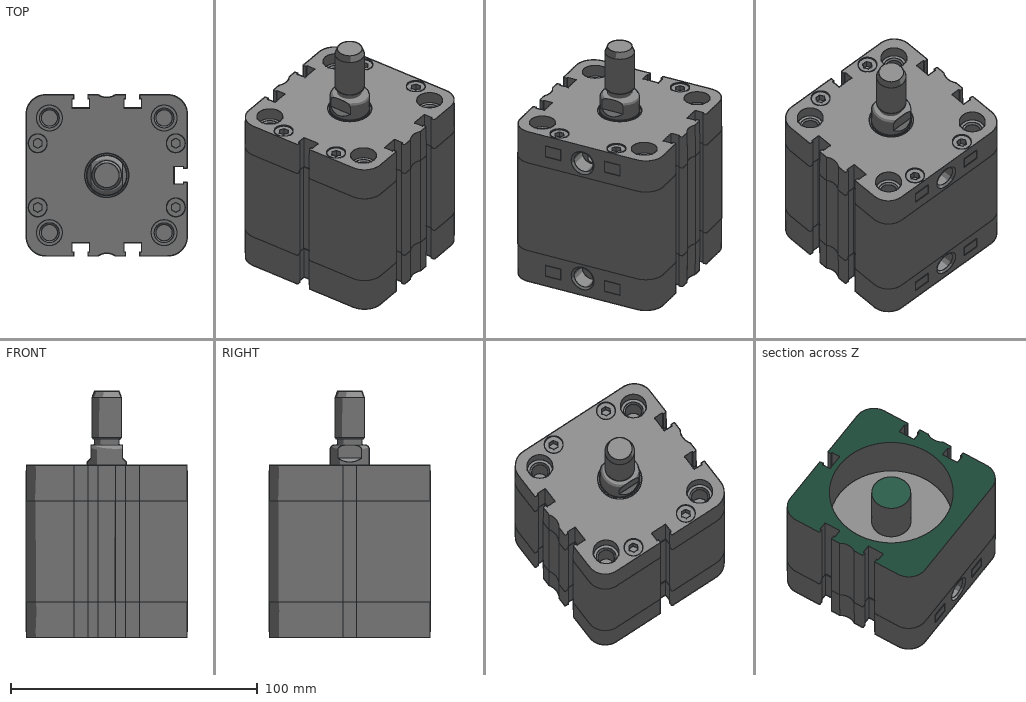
import cadquery as cq
import math

SIDE = 65.5
CORNER_RADIUS = 8.0
CAP_HEIGHT = 14.5
BODY_HEIGHT = 70.0
TOTAL_HEIGHT = 100.0
BARREL_HEIGHT = BODY_HEIGHT - 2 * CAP_HEIGHT
CAP_DRAFT_ANGLE = 0.5
FRONT_CAP_Z = BODY_HEIGHT - CAP_HEIGHT
HALF_SIDE = SIDE / 2

SLOT_OFFSET = 10.5
SLOT_WIDTH = 7.0
SLOT_OPENING = 5.6
CAP_SLOT_DEPTH = 5.6
BARREL_SLOT_DEPTH = 5.3
SLOT_LIP = 1.7
SLOT_EDGE_RADIUS = 0.3

GROOVE_WIDTH = 7.0
GROOVE_DEPTH = 1.1

CORNER_HOLE_OFFSET = 23.25
CORNER_HOLE_DIAMETER = 6.6
CORNER_CHAMFER_DIAMETER = 8.0
CORNER_BORE_DIAMETER = 10.5
CORNER_BORE_DEPTH = 5.0

SCREW_X = 28.0
SCREW_Y = 13.0
SCREW_HEAD_DIAMETER = 7.5
SCREW_POCKET_DIAMETER = 7.7
SCREW_POCKET_DEPTH = 5.0
SCREW_HEAD_DROP = 0.5
HEX_ACROSS_FLATS = 3.5
HEX_DEPTH = 3.0

PORT_INSET = 8.0
PORT_DIAMETER = 8.6
PORT_MOUTH_DIAMETER = 10.5
PORT_DEPTH = 8.0
PASSAGE_DIAMETER = 3.5
PASSAGE_DROP = 2.0
PASSAGE_LENGTH = 2.0

LABEL_OFFSET = 13.5
LABEL_INSET = 7.1
LABEL_WIDTH = 7.0
LABEL_HEIGHT = 5.0
LABEL_DEPTH = 0.3

WIPER_LIP_DIAMETER = 16.5
WIPER_GROOVE_DIAMETER = 17.7
WIPER_GROOVE_DEPTH = 0.3
ROD_MOUTH_DIAMETER = 18.0

BORE_DIAMETER = 50.0
PISTON_LENGTH = 16.0
ROD_DIAMETER = 16.0
ROD_SHOULDER = 8.2
ROD_FILLET = 2.0
FLATS_WIDTH = 12.8
FLATS_BOTTOM = 2.8
NECK_DIAMETER = 10.0
NECK_FOOT_FILLET = 0.2
NECK_TOP_FILLET = 0.4
THREAD_DIAMETER = 12.0
THREAD_START = 10.6
THREAD_CHAMFER = 0.5
THREAD_TIP_DIAMETER = 10.0
THREAD_TIP_LENGTH = 2.7


def undercut_slot(depth, height):
    """Slot cutter that opens toward -Y, with its mouth on Y = 0."""
    mouth = cq.Workplane().box(SLOT_OPENING, depth, height, centered=(True, False, False))
    chamber = (
        cq.Workplane()
        .box(SLOT_WIDTH, depth - SLOT_LIP, height, centered=(True, False, False))
        .translate((0, SLOT_LIP, 0))
    )
    return mouth.union(chamber)


def grooved_block(height):
    """Straight rounded square block with a shallow groove on each Y side."""
    block = cq.Workplane().box(SIDE, SIDE, height, centered=(True, True, False))
    block = block.edges("|Z").fillet(CORNER_RADIUS)
    groove = (
        cq.Workplane()
        .moveTo(-GROOVE_WIDTH / 2, -HALF_SIDE)
        .threePointArc((0, GROOVE_DEPTH - HALF_SIDE), (GROOVE_WIDTH / 2, -HALF_SIDE))
        .close()
        .extrude(height)
    )
    return block.cut(groove).cut(groove.mirror("XZ"))


def cut_slots(block, depth, height):
    """Cut all five slots through a block standing on Z = 0 and round the edges of their mouths."""
    slot = undercut_slot(depth, height).translate((0, -HALF_SIDE, 0))
    half_opening = SLOT_OPENING / 2
    mouth_edges = []
    for x in (-SLOT_OFFSET, SLOT_OFFSET):
        front_slot = slot.translate((x, 0, 0))
        block = block.cut(front_slot).cut(front_slot.mirror("XZ"))
        mouth_edges += [(x + dx, y) for dx in (-half_opening, half_opening) for y in (-HALF_SIDE, HALF_SIDE)]
    block = block.cut(slot.rotate((0, 0, 0), (0, 0, 1), 90))
    mouth_edges += [(HALF_SIDE, y) for y in (-half_opening, half_opening)]
    for x, y in mouth_edges:
        edge = cq.NearestToPointSelector((x, y, height / 2))
        block = block.edges(edge).fillet(SLOT_EDGE_RADIUS)
    return block


def cap_blank():
    """Slotted cap standing on Z = 0, with its outside drafted so that it narrows upward."""
    outline = grooved_block(CAP_HEIGHT).faces("<Z").wires().vals()
    blank = cq.Workplane().add(outline).toPending().extrude(CAP_HEIGHT, taper=CAP_DRAFT_ANGLE)
    return cut_slots(blank, CAP_SLOT_DEPTH, CAP_HEIGHT)


def cylinder(diameter, bottom_z, top_z):
    return cq.Workplane().workplane(offset=bottom_z).circle(diameter / 2).extrude(top_z - bottom_z)


def cone(bottom_diameter, top_diameter, bottom_z, top_z):
    base = cq.Vector(0, 0, bottom_z)
    return cq.Workplane(cq.Solid.makeCone(bottom_diameter / 2, top_diameter / 2, top_z - bottom_z, base))


def side_hole(diameter, z, start_depth, length):
    """Round cutter running in +X from start_depth below the -X side."""
    start = cq.Vector(-HALF_SIDE + start_depth, 0, z)
    return cq.Workplane(cq.Solid.makeCylinder(diameter / 2, length, start, cq.Vector(1, 0, 0)))


def port_and_labels(port_z, label_z):
    """Cutter for one chamfered air port with its two label panels."""
    chamfer = (PORT_MOUTH_DIAMETER - PORT_DIAMETER) / 2
    mouth = cq.Workplane(
        cq.Solid.makeCone(
            PORT_MOUTH_DIAMETER / 2,
            PORT_DIAMETER / 2,
            chamfer,
            cq.Vector(-HALF_SIDE, 0, port_z),
            cq.Vector(1, 0, 0),
        )
    )
    cutter = side_hole(PORT_DIAMETER, port_z, 0, PORT_DEPTH).union(mouth)
    for y in (-LABEL_OFFSET, LABEL_OFFSET):
        panel = cq.Workplane().box(LABEL_DEPTH, LABEL_WIDTH, LABEL_HEIGHT, centered=(False, True, True))
        cutter = cutter.add(panel.translate((-HALF_SIDE, y, label_z)))
    return cutter.combine()


def corner_hole():
    bore_floor = BODY_HEIGHT - CORNER_BORE_DEPTH
    chamfer = (CORNER_CHAMFER_DIAMETER - CORNER_HOLE_DIAMETER) / 2
    bore = cylinder(CORNER_BORE_DIAMETER, bore_floor, BODY_HEIGHT)
    countersink = cone(CORNER_HOLE_DIAMETER, CORNER_CHAMFER_DIAMETER, bore_floor - chamfer, bore_floor)
    return cylinder(CORNER_HOLE_DIAMETER, FRONT_CAP_Z, bore_floor).union(countersink).union(bore)


def screw_cutter():
    """Space around and above a screw head, plus its hexagon socket."""
    head_top = BODY_HEIGHT - SCREW_HEAD_DROP
    pocket_floor = BODY_HEIGHT - SCREW_POCKET_DEPTH
    socket = (
        cq.Workplane()
        .workplane(offset=head_top - HEX_DEPTH)
        .polygon(6, HEX_ACROSS_FLATS / math.cos(math.radians(30)))
        .extrude(HEX_DEPTH)
        .rotate((0, 0, 0), (0, 0, 1), 30)
    )
    pocket = cylinder(SCREW_POCKET_DIAMETER, pocket_floor, BODY_HEIGHT)
    return pocket.cut(cylinder(SCREW_HEAD_DIAMETER, pocket_floor, head_top)).union(socket)


def rod_opening():
    """Close-fitting rod hole and the groove around its lip, with a small edge break."""
    edge_break = (ROD_MOUTH_DIAMETER - WIPER_GROOVE_DIAMETER) / 2
    groove_floor = BODY_HEIGHT - WIPER_GROOVE_DEPTH
    groove = cylinder(WIPER_GROOVE_DIAMETER, groove_floor, BODY_HEIGHT)
    mouth = cone(WIPER_GROOVE_DIAMETER, ROD_MOUTH_DIAMETER, BODY_HEIGHT - edge_break, BODY_HEIGHT)
    lip = cylinder(WIPER_LIP_DIAMETER, groove_floor, BODY_HEIGHT)
    hole = cylinder(ROD_DIAMETER, FRONT_CAP_Z, BODY_HEIGHT)
    return groove.union(mouth).cut(lip).union(hole)


def four_places(x, y):
    return [(sx * x, sy * y, 0) for sx in (-1, 1) for sy in (-1, 1)]


def make_rear_cap():
    cap = cap_blank().mirror("XY").translate((0, 0, CAP_HEIGHT))
    return cap.cut(port_and_labels(PORT_INSET, LABEL_INSET))


def make_barrel():
    barrel = cut_slots(grooved_block(BARREL_HEIGHT), BARREL_SLOT_DEPTH, BARREL_HEIGHT)
    barrel = barrel.translate((0, 0, CAP_HEIGHT))
    return barrel.cut(cylinder(BORE_DIAMETER, CAP_HEIGHT, FRONT_CAP_Z))


def make_front_cap():
    cap = cap_blank().translate((0, 0, FRONT_CAP_Z))
    port_z = BODY_HEIGHT - PORT_INSET
    cap = cap.cut(port_and_labels(port_z, BODY_HEIGHT - LABEL_INSET))
    cap = cap.cut(side_hole(PASSAGE_DIAMETER, port_z - PASSAGE_DROP, PORT_DEPTH, PASSAGE_LENGTH))
    for place in four_places(CORNER_HOLE_OFFSET, CORNER_HOLE_OFFSET):
        cap = cap.cut(corner_hole().translate(place))
    for place in four_places(SCREW_X, SCREW_Y):
        cap = cap.cut(screw_cutter().translate(place))
    return cap.cut(rod_opening())


def make_piston_rod():
    shoulder_z = BODY_HEIGHT + ROD_SHOULDER
    thread_z = BODY_HEIGHT + THREAD_START
    tip_z = TOTAL_HEIGHT - THREAD_TIP_LENGTH

    rod = cylinder(ROD_DIAMETER, CAP_HEIGHT, shoulder_z).faces(">Z").edges().fillet(ROD_FILLET)
    cut_depth = (ROD_DIAMETER - FLATS_WIDTH) / 2
    flats_z = BODY_HEIGHT + FLATS_BOTTOM
    flat = (
        cq.Workplane("XZ")
        .moveTo(FLATS_WIDTH / 2, flats_z)
        .lineTo(ROD_DIAMETER / 2, flats_z - cut_depth)
        .lineTo(ROD_DIAMETER / 2, shoulder_z)
        .lineTo(FLATS_WIDTH / 2, shoulder_z)
        .close()
        .extrude(ROD_DIAMETER / 2, both=True)
    )
    rod = rod.cut(flat).cut(flat.mirror("YZ"))

    neck_radius = NECK_DIAMETER / 2
    thread_radius = THREAD_DIAMETER / 2
    foot_radius = neck_radius + NECK_FOOT_FILLET
    top_radius = neck_radius + NECK_TOP_FILLET
    stud = (
        cq.Workplane("XZ")
        .moveTo(0, shoulder_z)
        .lineTo(foot_radius, shoulder_z)
        .radiusArc((neck_radius, shoulder_z + NECK_FOOT_FILLET), NECK_FOOT_FILLET)
        .lineTo(neck_radius, thread_z - NECK_TOP_FILLET)
        .radiusArc((top_radius, thread_z), NECK_TOP_FILLET)
        .lineTo(thread_radius - THREAD_CHAMFER, thread_z)
        .lineTo(thread_radius, thread_z + THREAD_CHAMFER)
        .lineTo(thread_radius, tip_z)
        .lineTo(THREAD_TIP_DIAMETER / 2, TOTAL_HEIGHT)
        .lineTo(0, TOTAL_HEIGHT)
        .close()
        .revolve(360, (0, 0, 0), (0, 1, 0))
    )
    piston = cylinder(BORE_DIAMETER, CAP_HEIGHT, CAP_HEIGHT + PISTON_LENGTH)
    return rod.union(stud).union(piston)


rear_cap = make_rear_cap()
barrel = make_barrel()
front_cap = make_front_cap()
piston_rod = make_piston_rod()

bodies = [rear_cap, barrel, front_cap, piston_rod]
result = cq.Compound.makeCompound([body.solids().val() for body in bodies])